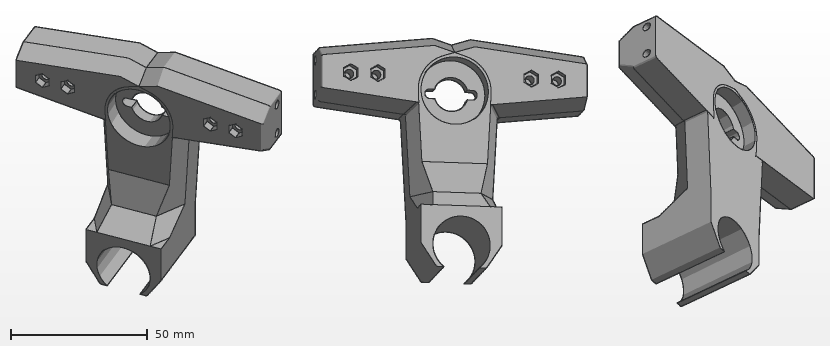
import cadquery as cq
import math


straight_depth = 10.3
front_depth = 17.0
lean_angle = 30.0
lean = math.tan(math.radians(lean_angle))
edge_radius = 1.0

span = 99.0
arm_axis_z = 5.5
arm_end_half_height = 10.0
arm_slope = 0.118
peak_x = 7.1
notch_slope = 0.315

hole_diameter = 3.3
nut_across_flats = 5.3
nut_pocket_depth = 3.3
nut_hole_depth = 9.9
nut_xs = (28.5, 38.6)
end_hole_zs = (-0.8, 12.0)
end_hole_y = -4.1
end_hole_depth = 41.2

bore_diameter = 25.0
bore_depth = 7.2
back_recess_depth = 5.0
key_hole_diameter = 12.6
key_slot_length = 19.4
key_slot_height = 3.6

leg_top_z = 7.9
bend_z = -26.8
shelf_z = -38.8
shelf_depth = 21.5
clamp_top_z = -45.5
clamp_lean_start = 23.4
leg_slope = 0.055

clamp_half_width = 15.0
clamp_depth = 31.0
clamp_axis_z = -60.1
clamp_diameter = 21.3
clamp_shoulder_z = -59.9
clamp_bottom_z = -68.5
clamp_foot_half_width = 9.3

half_span = span / 2
peak_half_height = arm_end_half_height + arm_slope * (half_span - peak_x)
peak_z = arm_axis_z + peak_half_height
notch_z = peak_z - notch_slope * peak_x

lean_inset = (front_depth - straight_depth) * lean
notch_angle = math.atan(notch_slope)
hub_apex_z = notch_z - lean_inset / math.cos(notch_angle)
hub_radius = hub_apex_z * math.cos(notch_angle)

bar_bottom_z = arm_axis_z - arm_end_half_height - arm_slope * half_span
corner_x = 17.1


def front_plane(depth):
    """Plane at the given depth in front of the back face, with its normal towards -Y."""
    return cq.Workplane("XZ", origin=(0, -depth, 0))


def make_arm():
    """Right arm, running on past the middle under the notch, with leaning front faces."""
    overhang = 9.9
    tip_x = half_span + overhang
    tip_half_height = arm_end_half_height - arm_slope * overhang
    middle_half_height = arm_end_half_height + arm_slope * half_span
    outline = [
        (tip_x, arm_axis_z + tip_half_height),
        (peak_x, peak_z),
        (-overhang, notch_z - notch_slope * overhang),
        (-overhang, arm_axis_z - middle_half_height + arm_slope * overhang),
        (0, arm_axis_z - middle_half_height),
        (tip_x, arm_axis_z - tip_half_height),
    ]
    back = front_plane(0).polyline(outline).close().extrude(straight_depth)
    front = (
        front_plane(straight_depth)
        .polyline(outline)
        .close()
        .extrude(front_depth - straight_depth, taper=lean_angle)
    )
    return back.union(front)


def make_bar():
    """Both arms as one bar, notched at the top middle and trimmed to the span."""
    right_arm = make_arm()
    ample = 2 * span
    trim = cq.Workplane("XY").box(span, ample, ample)
    return right_arm.union(right_arm.mirror("YZ")).intersect(trim)


def round_arm_ends(bar):
    """Round every edge of the two end faces except the one on the back."""
    for side in ("<X", ">X"):
        back_edge = bar.faces(side).edges(">Y").val()
        edges = [e for e in bar.faces(side).edges().vals() if not e.isSame(back_edge)]
        bar = bar.newObject(edges).fillet(edge_radius)
    return bar


def round_peaks(bar):
    """Round the two peaks beside the notch."""
    margin = 0.5
    for x in (-peak_x, peak_x):
        peak_edges = cq.selectors.BoxSelector(
            (x - margin, margin, peak_z - lean_inset + margin),
            (x + margin, -front_depth, peak_z + margin),
        )
        bar = bar.edges(peak_edges).fillet(edge_radius)
    return bar


def make_hub(bottom_z):
    """Round-topped block through the bar: a ridged top, and sides that lean with the leg."""
    top_x = hub_radius * math.sin(notch_angle)
    top_z = hub_radius * math.cos(notch_angle)
    leg_angle = math.atan(leg_slope)
    side_x = hub_radius * math.cos(leg_angle)
    side_z = -hub_radius * math.sin(leg_angle)
    bottom_x = side_x - leg_slope * (side_z - bottom_z)
    return (
        front_plane(0)
        .moveTo(-bottom_x, bottom_z)
        .lineTo(-side_x, side_z)
        .radiusArc((-top_x, top_z), hub_radius)
        .lineTo(0, hub_apex_z)
        .lineTo(top_x, top_z)
        .radiusArc((side_x, side_z), hub_radius)
        .lineTo(bottom_x, bottom_z)
        .close()
        .extrude(front_depth)
    )


def leg_section(z, lean_start, depth):
    """Closed level section of the leg at height z."""
    half_width = clamp_half_width + leg_slope * (z - clamp_top_z)
    front_half_width = half_width - (depth - lean_start) * lean
    points = [
        (-half_width, 0),
        (-half_width, -lean_start),
        (-front_half_width, -depth),
        (front_half_width, -depth),
        (half_width, -lean_start),
        (half_width, 0),
    ]
    return cq.Wire.makePolygon([cq.Vector(x, y, z) for x, y in points], close=True)


def make_column():
    """Leg from the hub down to the clamp, stepping forward at the shelf."""
    sections = [
        leg_section(leg_top_z, straight_depth, front_depth),
        leg_section(bend_z, straight_depth, front_depth),
        leg_section(shelf_z, straight_depth, shelf_depth),
        leg_section(clamp_top_z, clamp_lean_start, clamp_depth),
    ]
    return cq.Workplane(cq.Solid.makeLoft(sections, True))


def fill_corners(column, bar):
    """Column and bar joined, with the inner corners below the arms rounded."""
    frame = column.union(bar)
    corner_z = arm_axis_z - arm_end_half_height - arm_slope * (half_span - corner_x)
    margin = 0.5
    for side in (-1, 1):
        inner_corner = cq.selectors.BoxSelector(
            (side * (corner_x + margin), margin, corner_z - margin),
            (side * (corner_x - lean_inset), -front_depth, corner_z + lean_inset),
        )
        frame = frame.edges(inner_corner).fillet(edge_radius)
    return frame


def make_clamp():
    """Open clip block at the foot of the leg."""
    outline = [
        (-clamp_half_width, clamp_top_z),
        (-clamp_half_width, clamp_shoulder_z),
        (-clamp_foot_half_width, clamp_bottom_z),
        (clamp_foot_half_width, clamp_bottom_z),
        (clamp_half_width, clamp_shoulder_z),
        (clamp_half_width, clamp_top_z),
    ]
    block = front_plane(0).polyline(outline).close().extrude(clamp_depth)
    for x, z in outline[1:5]:
        corner = cq.selectors.NearestToPointSelector((x, -clamp_depth / 2, z))
        block = block.edges(corner).fillet(edge_radius)
    opening = front_plane(0).center(0, clamp_axis_z).circle(clamp_diameter / 2).extrude(clamp_depth)
    return block.cut(opening)


def cut_bore(leg):
    """Bore from the front, a recess of the same diameter from the back, and a keyed hole between."""
    bore = front_plane(front_depth - bore_depth).circle(bore_diameter / 2).extrude(bore_depth)
    key_hole = front_plane(0).circle(key_hole_diameter / 2).extrude(front_depth)
    key_slot = front_plane(0).slot2D(key_slot_length, key_slot_height).extrude(front_depth)
    recess = front_plane(0).circle(bore_diameter / 2).extrude(back_recess_depth)
    return leg.cut(bore).cut(recess).cut(key_hole).cut(key_slot)


def cut_arm_holes(arms):
    """Nut pockets with screw holes in the front, and two holes in each end."""
    nut_spots = [(side * x, arm_axis_z) for side in (-1, 1) for x in nut_xs]
    nut_sides = 6
    nut_turn = 180 / nut_sides
    nut_corner_diameter = nut_across_flats / math.cos(math.pi / nut_sides)
    for x, z in nut_spots:
        pocket = (
            front_plane(front_depth - nut_pocket_depth)
            .center(x, z)
            .transformed(rotate=(0, 0, nut_turn))
            .polygon(nut_sides, nut_corner_diameter)
            .extrude(nut_pocket_depth)
        )
        hole = (
            front_plane(front_depth - nut_hole_depth)
            .center(x, z)
            .circle(hole_diameter / 2)
            .extrude(nut_hole_depth)
        )
        arms = arms.cut(pocket).cut(hole)
    for side in (-1, 1):
        for z in end_hole_zs:
            hole = cq.Solid.makeCylinder(
                hole_diameter / 2,
                end_hole_depth,
                cq.Vector(side * half_span, end_hole_y, z),
                cq.Vector(-side, 0, 0),
            )
            arms = arms.cut(cq.Workplane(hole))
    return arms


bar = round_peaks(round_arm_ends(make_bar()))
plain_arms = bar.cut(make_hub(bar_bottom_z))
frame = fill_corners(make_column(), bar)

arms = cut_arm_holes(plain_arms)
leg = cut_bore(frame.cut(plain_arms).union(make_clamp()))

result = cq.Compound.makeCompound([arms.solids().val(), leg.solids().val()])